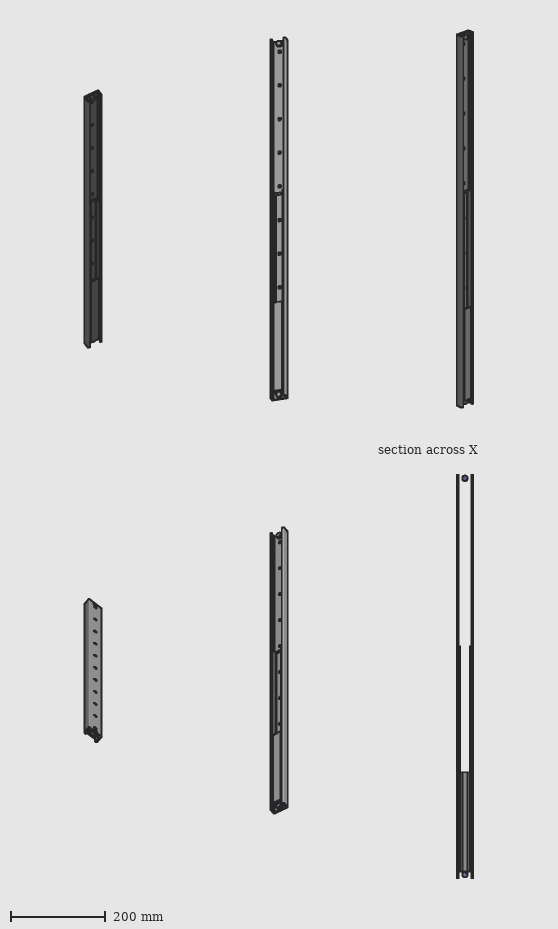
import cadquery as cq

RAIL_DEPTH = 17.0
RAIL_WIDTH = 35.0
RAIL_LENGTH = 850.0
WEB_THICKNESS = 4.0
FLANGE_THICKNESS = 4.7
BACK_CORNER_RADIUS = 1.25
LIP_CORNER_RADIUS = 2.85

RACEWAY_X = 11.0
RACEWAY_RADIUS = 3.0
RACEWAY_DEPTH = 1.95

HOLE_DIAMETER = 6.5
HOLE_PITCH = 80.0
HOLE_END_DISTANCE = 25.0

PIN_SHANK_DIAMETER = 10.0
PIN_HEAD_DIAMETER = 12.0
PIN_HEAD_HEIGHT = 6.0
PIN_END_DISTANCE = 7.7

SLIDER_LENGTH = 210.0
SLIDER_WIDTH = 18.6
SLIDER_BACK_WIDTH = 10.4
SLIDER_THICKNESS = 3.8
SLIDER_EDGE_THICKNESS = 1.2

CAGE_LENGTH = 475.0
CAGE_WIDTH = 21.4
CAGE_THICKNESS = 1.0
CAGE_BACK_GAP = 1.5
CAGE_FRONT_RECESS = 0.5
CAGE_WINDOW_WIDTH = 14.0
CAGE_END_BAND = 5.0

rail_base_z = -RAIL_LENGTH / 2
rail_half_width = RAIL_WIDTH / 2
opening_half_width = rail_half_width - FLANGE_THICKNESS
raceway_y = opening_half_width + RACEWAY_DEPTH - RACEWAY_RADIUS

hole_count = round((RAIL_LENGTH - 2 * HOLE_END_DISTANCE) / HOLE_PITCH) + 1
hole_heights = [rail_base_z + HOLE_END_DISTANCE + i * HOLE_PITCH for i in range(hole_count)]
pin_heights = [side * (RAIL_LENGTH / 2 - PIN_END_DISTANCE) for side in (-1, 1)]

stop_z = min(pin_heights) + PIN_HEAD_DIAMETER / 2


def bar(x_min, x_max, half_width, z_min, length):
    """Rectangular bar along Z, centred on Y = 0."""
    outline = cq.Workplane("XY", origin=(0, 0, z_min))
    outline = outline.moveTo(x_min, -half_width).lineTo(x_max, -half_width)
    outline = outline.lineTo(x_max, half_width).lineTo(x_min, half_width).close()
    return outline.extrude(length)


def rod_along_x(diameter, x_min, length, z):
    """Round rod along X, centred on Y = 0."""
    return cq.Workplane("YZ", origin=(x_min, 0, z)).circle(diameter / 2).extrude(length)


def make_rail():
    rail = bar(0, RAIL_DEPTH, rail_half_width, rail_base_z, RAIL_LENGTH)
    rail = rail.edges("|Z and <X").fillet(BACK_CORNER_RADIUS)
    rail = rail.edges("|Z and >X").fillet(LIP_CORNER_RADIUS)
    rail = rail.cut(bar(WEB_THICKNESS, RAIL_DEPTH, opening_half_width, rail_base_z, RAIL_LENGTH))

    raceway_centres = [(RACEWAY_X, -raceway_y), (RACEWAY_X, raceway_y)]
    raceways = cq.Workplane("XY", origin=(0, 0, rail_base_z)).pushPoints(raceway_centres)
    rail = rail.cut(raceways.circle(RACEWAY_RADIUS).extrude(RAIL_LENGTH))

    for z in hole_heights:
        rail = rail.cut(rod_along_x(HOLE_DIAMETER, 0, WEB_THICKNESS, z))
    for z in pin_heights:
        rail = rail.cut(rod_along_x(PIN_SHANK_DIAMETER, 0, WEB_THICKNESS, z))
    return rail


def make_stop_pin(z):
    """Shank through the rail web, flush with its back, and a larger head inside the rail."""
    shank = rod_along_x(PIN_SHANK_DIAMETER, 0, WEB_THICKNESS, z)
    head = rod_along_x(PIN_HEAD_DIAMETER, WEB_THICKNESS, PIN_HEAD_HEIGHT, z)
    return shank.union(head)


def make_slider():
    back_x = RAIL_DEPTH - SLIDER_THICKNESS
    edge_x = RAIL_DEPTH - SLIDER_EDGE_THICKNESS
    half_width = SLIDER_WIDTH / 2
    back_half_width = SLIDER_BACK_WIDTH / 2
    outline = cq.Workplane("XY", origin=(0, 0, stop_z))
    outline = outline.moveTo(RAIL_DEPTH, -half_width).lineTo(RAIL_DEPTH, half_width)
    outline = outline.lineTo(edge_x, half_width)
    outline = outline.lineTo(back_x, back_half_width)
    outline = outline.lineTo(back_x, -back_half_width)
    outline = outline.lineTo(edge_x, -half_width)
    return outline.close().extrude(SLIDER_LENGTH)


def make_cage():
    back_x = WEB_THICKNESS + CAGE_BACK_GAP
    web_front_x = back_x + CAGE_THICKNESS
    front_x = RAIL_DEPTH - CAGE_FRONT_RECESS
    half_width = CAGE_WIDTH / 2
    cage = bar(back_x, front_x, half_width, stop_z, CAGE_LENGTH)
    inside = bar(web_front_x, front_x, half_width - CAGE_THICKNESS, stop_z, CAGE_LENGTH)

    window_base_z = stop_z + CAGE_END_BAND
    window_length = CAGE_LENGTH - 2 * CAGE_END_BAND
    window = bar(back_x, web_front_x, CAGE_WINDOW_WIDTH / 2, window_base_z, window_length)
    return cage.cut(inside).cut(window)


rail = make_rail()
slider = make_slider()
cage = make_cage()
stop_pins = [make_stop_pin(z) for z in pin_heights]

result = cq.Compound.makeCompound(
    [rail.val(), slider.val(), cage.val(), *[pin.val() for pin in stop_pins]]
)